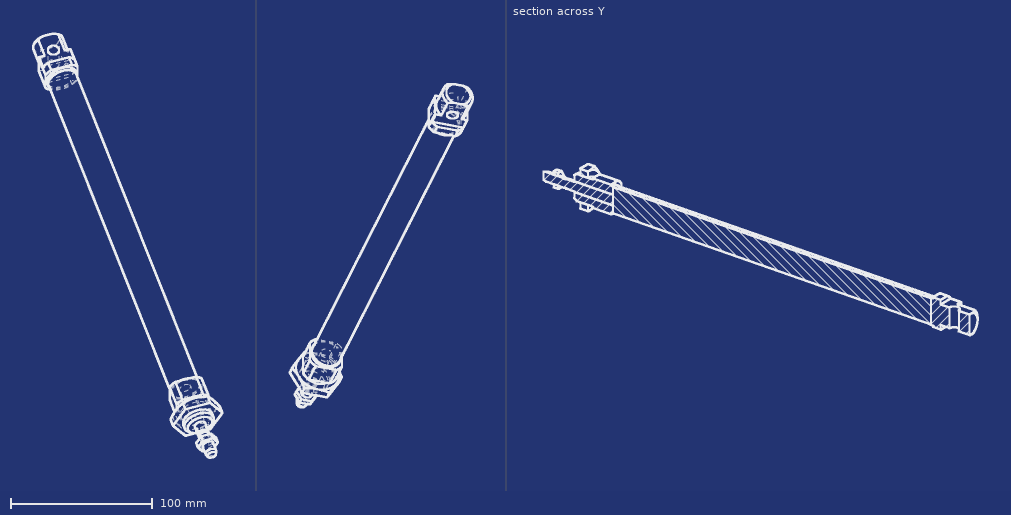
import cadquery as cq
import math

OVERALL_LENGTH = 379.0

EYE_END = 16.5
REAR_STEP = 25.8
REAR_BLOCK_END = 32.5
BARREL_START = 35.0
BARREL_END = 317.5
FRONT_BLOCK_START = 318.7
FRONT_BLOCK_END = 335.0
FRONT_CAP_END = 351.7
MOUNT_NUT_START = 339.2
MOUNT_NUT_END = 346.5
FLATS_START = 355.0
FLATS_END = 357.5
ROD_SHOULDER = 359.0
ROD_THREAD_START = 360.8
ROD_NUT_START = 365.7
ROD_NUT_END = 370.0

BLOCK_WIDTH = 24.0
BLOCK_CORNER_DIAMETER = 28.5
TONGUE_DIAMETER = 22.5
TONGUE_THICKNESS = 16.5
TONGUE_CHAMFER_LENGTH = 1.5
TONGUE_CHAMFER_HEIGHT = 2.3
EYE_X = 14.0
EYE_DIAMETER = 8.0
NECK_DIAMETER = 22.0
MOUNT_THREAD_DIAMETER = 22.0
MOUNT_THREAD_CHAMFER_LENGTH = 2.3
MOUNT_THREAD_CHAMFER_HEIGHT = 2.0

BARREL_DIAMETER = 21.2

MOUNT_NUT_FLATS = 32.0
MOUNT_NUT_FACE_DIAMETER = MOUNT_NUT_FLATS
MOUNT_NUT_CHAMFER_ANGLE = 30.0
ROD_NUT_FLATS = 13.0

ROD_DIAMETER = 8.0
ROD_FLATS_WIDTH = 7.0
UNDERCUT_DIAMETER = 7.2
ROD_TIP_CHAMFER_LENGTH = 2.3
ROD_TIP_CHAMFER_HEIGHT = 0.8


def cylinder(start, end, diameter):
    """Cylinder on the X axis."""
    return cq.Workplane("YZ", origin=(start, 0, 0)).circle(diameter / 2).extrude(end - start)


def bar(start, end, width, height):
    """Rectangular bar centred on the X axis, width along Y and height along Z."""
    return cq.Workplane("YZ", origin=(start, 0, 0)).rect(width, height).extrude(end - start)


def square_block(start, end):
    """Square block whose corners are rounded by a cylinder on the axis."""
    corners = cylinder(start, end, BLOCK_CORNER_DIAMETER)
    return bar(start, end, BLOCK_WIDTH, BLOCK_WIDTH).intersect(corners)


def hex_nut(start, end, across_flats, bore):
    """Plain hex nut with corners along Y."""
    across_corners = across_flats / math.cos(math.pi / 6)
    hexagon = (
        cq.Workplane("YZ", origin=(start, 0, 0))
        .polygon(6, across_corners)
        .extrude(end - start)
    )
    return hexagon.cut(cylinder(start, end, bore))


def make_rear_cap():
    """Eye tongue, square block and neck."""
    tongue = cylinder(0, EYE_END, TONGUE_DIAMETER)
    tongue = tongue.faces("<X").chamfer(TONGUE_CHAMFER_LENGTH, TONGUE_CHAMFER_HEIGHT)
    stepped = tongue.union(square_block(EYE_END, REAR_STEP))
    stepped = stepped.intersect(bar(0, REAR_STEP, BLOCK_WIDTH, TONGUE_THICKNESS))
    cap = stepped.union(square_block(REAR_STEP, REAR_BLOCK_END))
    cap = cap.union(cylinder(REAR_BLOCK_END, BARREL_START, NECK_DIAMETER))
    eye = cq.Workplane("XY").center(EYE_X, 0).circle(EYE_DIAMETER / 2)
    eye = eye.extrude(TONGUE_THICKNESS / 2, both=True)
    return cap.cut(eye)


def make_front_cap():
    """Neck, square block and mounting thread, bored for the rod."""
    thread = cylinder(FRONT_BLOCK_END, FRONT_CAP_END, MOUNT_THREAD_DIAMETER)
    thread = thread.faces(">X").chamfer(MOUNT_THREAD_CHAMFER_LENGTH, MOUNT_THREAD_CHAMFER_HEIGHT)
    cap = cylinder(BARREL_END, FRONT_BLOCK_START, NECK_DIAMETER)
    cap = cap.union(square_block(FRONT_BLOCK_START, FRONT_BLOCK_END)).union(thread)
    return cap.cut(cylinder(BARREL_END, FRONT_CAP_END, ROD_DIAMETER))


def make_mount_nut():
    """Thin hex nut with a conical chamfer round its rear face."""
    nut = hex_nut(MOUNT_NUT_START, MOUNT_NUT_END, MOUNT_NUT_FLATS, MOUNT_THREAD_DIAMETER)
    face_radius = MOUNT_NUT_FACE_DIAMETER / 2
    corner_radius = MOUNT_NUT_FLATS / 2 / math.cos(math.pi / 6)
    chamfer_length = (corner_radius - face_radius) * math.tan(math.radians(MOUNT_NUT_CHAMFER_ANGLE))
    envelope = (
        cq.Workplane("XY")
        .moveTo(MOUNT_NUT_START, 0)
        .lineTo(MOUNT_NUT_START, face_radius)
        .lineTo(MOUNT_NUT_START + chamfer_length, corner_radius)
        .lineTo(MOUNT_NUT_END, corner_radius)
        .lineTo(MOUNT_NUT_END, 0)
        .close()
        .revolve(360, (0, 0, 0), (1, 0, 0))
    )
    return nut.intersect(envelope)


def make_rod():
    """Rod butting against the barrel, with flats facing Y, an undercut and a chamfered thread."""
    shank = cylinder(BARREL_END, FLATS_START, ROD_DIAMETER)
    flats = cylinder(FLATS_START, FLATS_END, ROD_DIAMETER)
    flats = flats.intersect(bar(FLATS_START, FLATS_END, ROD_FLATS_WIDTH, ROD_DIAMETER))
    shoulder = cylinder(FLATS_END, ROD_SHOULDER, ROD_DIAMETER)
    undercut = cylinder(ROD_SHOULDER, ROD_THREAD_START, UNDERCUT_DIAMETER)
    thread = cylinder(ROD_THREAD_START, OVERALL_LENGTH, ROD_DIAMETER)
    thread = thread.faces(">X").chamfer(ROD_TIP_CHAMFER_LENGTH, ROD_TIP_CHAMFER_HEIGHT)
    return shank.union(flats).union(shoulder).union(undercut).union(thread)


rear_cap = make_rear_cap()
barrel = cylinder(BARREL_START, BARREL_END, BARREL_DIAMETER)
front_cap = make_front_cap()
mount_nut = make_mount_nut()
rod = make_rod()
rod_nut = hex_nut(ROD_NUT_START, ROD_NUT_END, ROD_NUT_FLATS, ROD_DIAMETER)

result = cq.Compound.makeCompound(
    [rear_cap.val(), barrel.val(), front_cap.val(), mount_nut.val(), rod.val(), rod_nut.val()]
)